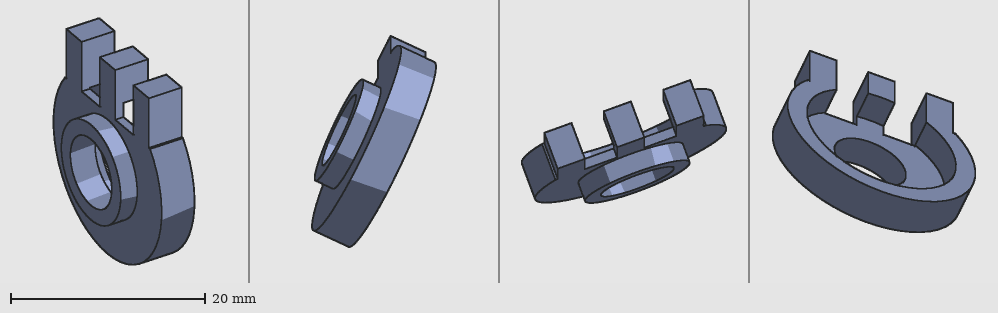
import cadquery as cq

total_height = 23.0
disk_diameter = 21.0
disk_thickness = 4.0
boss_diameter = 11.5
boss_height = 2.0
bore_diameter = 8.0
prong_width = 3.0
prong_height = 6.0
prong_pitch = 6.5
prong_count = 3
pocket_diameter = 16.65
front_wall = 1.01

prong_top = total_height - disk_diameter / 2
shoulder_height = prong_top - prong_height


def cylinder_along_y(diameter, y_start, length):
    """Cylinder on the bore axis, extending toward +Y from y_start."""
    plane = cq.Workplane("XZ", origin=(0, y_start, 0))
    return plane.circle(diameter / 2).extrude(-length)


def block(width, z_bottom, z_top, x_center=0):
    """Box as thick as the disk, between two heights."""
    height = z_top - z_bottom
    return (
        cq.Workplane("XY", origin=(x_center, 0, z_bottom))
        .box(width, disk_thickness, height, centered=(True, False, False))
    )


body = cylinder_along_y(disk_diameter, 0, disk_thickness)
body = body.cut(block(disk_diameter, shoulder_height, disk_diameter / 2))

for index in range(prong_count):
    x_center = (index - (prong_count - 1) / 2) * prong_pitch
    body = body.union(block(prong_width, 0, prong_top, x_center))

pocket_depth = disk_thickness - front_wall
body = body.cut(cylinder_along_y(pocket_diameter, front_wall, pocket_depth))

body = body.union(cylinder_along_y(boss_diameter, -boss_height, boss_height))
result = body.cut(cylinder_along_y(bore_diameter, -boss_height, boss_height + front_wall))